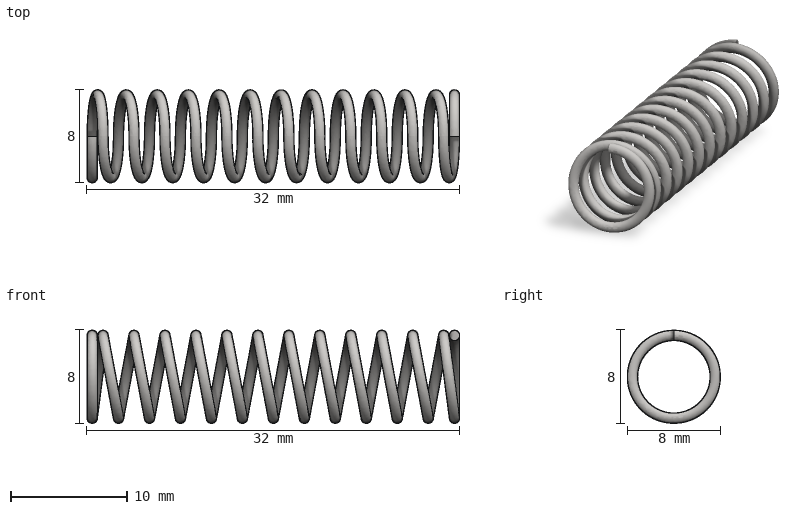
import cadquery as cq
import math


free_length = 32.0
outer_diameter = 8.0
wire_diameter = 0.9
active_turns = 11
end_gap = 0.03

wire_radius = wire_diameter / 2
coil_radius = (outer_diameter - wire_diameter) / 2
wire_start_x = -free_length / 2 + wire_radius
closing_rise = wire_diameter + end_gap
active_length = free_length - wire_diameter - 2 * closing_rise
half_pitch = active_length / (2 * active_turns)


def half_turn_edge(start_x, rise, side):
    """Half turn of wire centreline, right-handed about +X.

    side is +1 to run from the top round -Y to the bottom, -1 to run from the
    bottom round +Y to the top. Seen along X it is a half circle; in its own
    plane it is half an ellipse, whose long axis tilts to give the rise.
    """
    center = cq.Vector(start_x + rise / 2, 0, 0)
    toward_start = cq.Vector(-rise / 2, 0, side * coil_radius)
    toward_middle = cq.Vector(0, -side, 0)
    long_radius = math.hypot(coil_radius, rise / 2)
    return cq.Edge.makeEllipse(
        long_radius,
        coil_radius,
        center,
        toward_start.cross(toward_middle),
        toward_start,
        angle1=0,
        angle2=180,
    )


rises = [0, closing_rise] + [half_pitch] * (2 * active_turns) + [closing_rise, 0]

centerline_edges = []
x = wire_start_x
side = 1
for rise in rises:
    centerline_edges.append(half_turn_edge(x, rise, side))
    x += rise
    side = -side

centerline = cq.Workplane(cq.Wire.assembleEdges(centerline_edges))

wire_section = cq.Workplane("XZ").center(wire_start_x, coil_radius).circle(wire_radius)

result = wire_section.sweep(centerline)